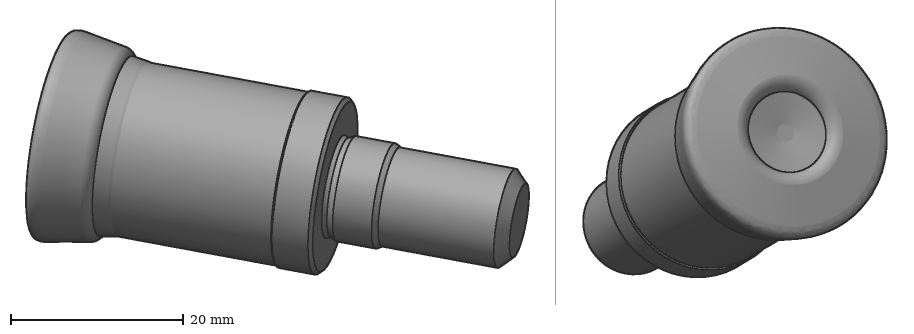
import cadquery as cq
import math


total_length = 57.0
collar_start = 30.1

rim_radius = 6.5
face_outer_radius = 11.3
face_outer_x = 0.75
head_radius = 24.95 / 2
head_widest_x = 1.9
flank_start_x = 2.55
flank_start_radius = 12.4
flank_end_x = 7.4
flank_end_radius = 11.55
head_back_x = 8.55
head_back_radius = 10.65

dimple_radius = 4.8
dimple_edge_depth = 1.15
dimple_center_radius = 1.0
dimple_center_depth = dimple_edge_depth + 0.7

barrel_radius = 20.6 / 2
neck_taper_end_x = 10.4
neck_taper_end_radius = 10.4
barrel_start_x = 10.7
barrel_edge_chamfer = 0.15

collar_radius = 21.0 / 2
collar_end = 34.9
collar_chamfer = 0.45
stem_radius = 11.75 / 2
neck_start_radius = 6.1
neck_end_x = 35.45
band_radius = 12.5 / 2
band_start = 36.25
band_end = 40.9
stem_start = 41.6
stem_chamfer = 1.5


def revolve_about_x(profile):
    """Turn a closed half profile, drawn as (x, radius), into a solid."""
    return profile.close().revolve(360, (0, 0, 0), (1, 0, 0))


def make_knob():
    lip_width = rim_radius - dimple_radius
    lip_radius = (lip_width**2 + dimple_edge_depth**2) / (2 * dimple_edge_depth)
    half_sweep = math.asin(lip_width / lip_radius) / 2
    lip_mid = (
        lip_radius * (1 - math.cos(half_sweep)),
        rim_radius - lip_radius * math.sin(half_sweep),
    )
    face_tangent = (face_outer_x, face_outer_radius - rim_radius)
    flank_tangent = (flank_end_x - flank_start_x, flank_end_radius - flank_start_radius)
    profile = (
        cq.Workplane("XY")
        .moveTo(dimple_center_depth, 0)
        .lineTo(dimple_center_depth, dimple_center_radius)
        .lineTo(dimple_edge_depth, dimple_radius)
        .threePointArc(lip_mid, (0, rim_radius))
        .lineTo(face_outer_x, face_outer_radius)
        .spline(
            [(head_widest_x, head_radius), (flank_start_x, flank_start_radius)],
            tangents=[face_tangent, (1, 0), flank_tangent],
            includeCurrent=True,
        )
        .lineTo(flank_end_x, flank_end_radius)
        .tangentArcPoint((head_back_x, head_back_radius), relative=False)
        .lineTo(neck_taper_end_x, neck_taper_end_radius)
        .lineTo(barrel_start_x, barrel_radius)
        .lineTo(collar_start - barrel_edge_chamfer, barrel_radius)
        .lineTo(collar_start, barrel_radius - barrel_edge_chamfer)
        .lineTo(collar_start, 0)
    )
    return revolve_about_x(profile)


def make_plunger():
    profile = (
        cq.Workplane("XY")
        .moveTo(collar_start, 0)
        .lineTo(collar_start, collar_radius)
        .lineTo(collar_end - collar_chamfer, collar_radius)
        .lineTo(collar_end, collar_radius - collar_chamfer)
        .lineTo(collar_end, neck_start_radius)
        .lineTo(neck_end_x, stem_radius)
        .lineTo(band_start, band_radius)
        .lineTo(band_end, band_radius)
        .lineTo(stem_start, stem_radius)
        .lineTo(total_length - stem_chamfer, stem_radius)
        .lineTo(total_length, stem_radius - stem_chamfer)
        .lineTo(total_length, 0)
    )
    return revolve_about_x(profile)


knob = make_knob()
plunger = make_plunger()
result = cq.Compound.makeCompound([knob.val(), plunger.val()])